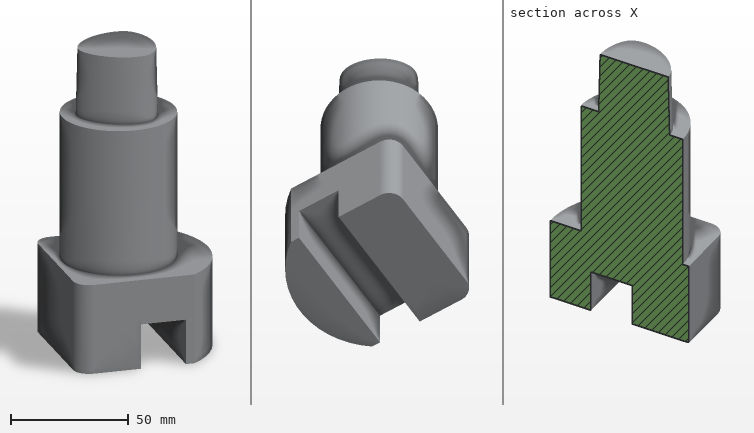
import cadquery as cq
import math

total_height = 135.0
base_width = 64.0
base_height = 40.0
base_front_distance = 28.0
base_back_radius = 40.0
base_corner_radius = 7.0

slot_width = 20.0
slot_height = base_height / 2

shaft_diameter = 50.0
shaft_top = 105.0

tip_bottom_width = 35.0
tip_taper = 1 / 20
tip_eccentricity = 1.15
lobe_count = 3
tip_curve_points = 36


def make_base():
    """Block with a rounded back and two rounded front corners."""
    half_width = base_width / 2
    back_corner_y = math.sqrt(base_back_radius**2 - half_width**2)
    return (
        cq.Workplane("XY")
        .moveTo(-half_width, -base_front_distance)
        .lineTo(half_width, -base_front_distance)
        .lineTo(half_width, back_corner_y)
        .threePointArc((0, base_back_radius), (-half_width, back_corner_y))
        .close()
        .extrude(base_height)
        .edges("|Z and <Y")
        .fillet(base_corner_radius)
    )


def make_slot():
    """Cross slot in the underside, with its front wall through the shaft axis."""
    return cq.Workplane("XY").box(
        base_width, slot_width, slot_height, centered=(True, False, False)
    )


def make_shaft():
    return (
        cq.Workplane("XY")
        .workplane(offset=base_height)
        .circle(shaft_diameter / 2)
        .extrude(shaft_top - base_height)
    )


def tip_outline(width):
    """Points of the lobed outline, with one lobe pointing toward -Y."""
    points = []
    for index in range(tip_curve_points):
        normal_angle = 2 * math.pi * index / tip_curve_points
        lobe_angle = lobe_count * (normal_angle + math.pi / 2)
        distance = width / 2 + tip_eccentricity * math.cos(lobe_angle)
        slope = -lobe_count * tip_eccentricity * math.sin(lobe_angle)
        x = distance * math.cos(normal_angle) - slope * math.sin(normal_angle)
        y = distance * math.sin(normal_angle) + slope * math.cos(normal_angle)
        points.append((x, y))
    return points


def make_tip():
    tip_height = total_height - shaft_top
    tip_top_width = tip_bottom_width - tip_taper * tip_height
    return (
        cq.Workplane("XY")
        .workplane(offset=shaft_top)
        .spline(tip_outline(tip_bottom_width), periodic=True)
        .wire()
        .workplane(offset=tip_height)
        .spline(tip_outline(tip_top_width), periodic=True)
        .wire()
        .loft(ruled=True)
    )


result = make_base().cut(make_slot()).union(make_shaft()).union(make_tip())